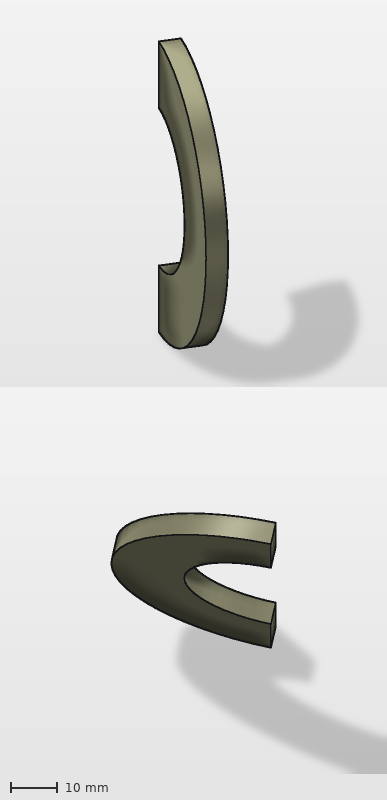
import cadquery as cq

outer_radius = 35.0
inner_radius = 19.0
thickness = 5.0

half_ring = (
    cq.Workplane("XZ")
    .moveTo(0, inner_radius)
    .lineTo(0, outer_radius)
    .threePointArc((outer_radius, 0), (0, -outer_radius))
    .lineTo(0, -inner_radius)
    .threePointArc((inner_radius, 0), (0, inner_radius))
    .close()
    .extrude(thickness / 2, both=True)
)

result = half_ring